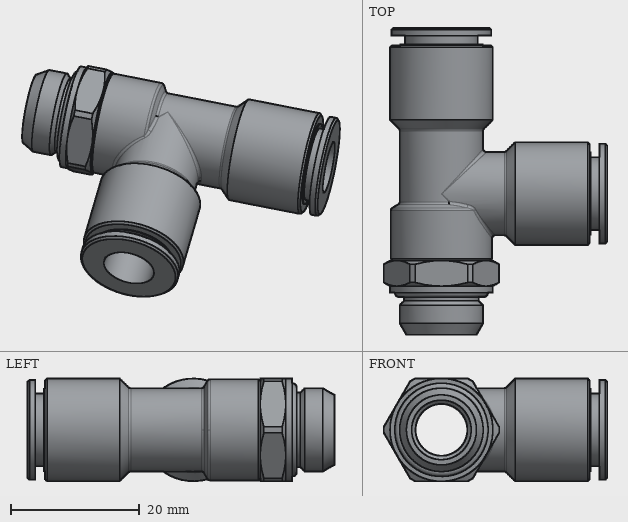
import cadquery as cq
import math

arm_end = 25.8
spigot_end = 22.0
neck_radius = 6.5
bore_radius = 4.0
blend_radius = 0.5
tolerance = 0.0005

socket_diameter = 16.0
socket_start = 11.45
socket_end = 23.1
socket_edge = 0.35
lip_radius = 6.4
lip_height = 0.15
collet_radius = 5.7
flange_radius = 7.8
flange_thickness = 1.25
flange_edge = 0.35

body_radius = 7.9
body_edge = 0.3
shoulder_start = 1.55
shoulder_angle = 30

hex_start = 10.4
hex_end = 14.4
hex_across_flats = 16.0
hex_corner_radius = 9.0
hex_bevel_angle = 30

collar_diameter = 16.0
collar_end = 15.4
ring_radius = 6.55
ring_section_radius = 0.7
groove_radius = 5.85
groove_end = 16.7
spigot_taper_start = 20.15
spigot_taper_angle = 30
mouth_radius = 4.65

socket_radius = socket_diameter / 2
collar_radius = collar_diameter / 2
cone_start = socket_start - (socket_radius - neck_radius)
lip_end = socket_end + lip_height
flange_start = arm_end - flange_thickness
shoulder_end = shoulder_start + (body_radius - neck_radius) * math.tan(math.radians(shoulder_angle))
hex_across_corners = hex_across_flats / math.cos(math.radians(30))
hex_flat_radius = hex_across_flats / 2
hex_bevel_depth = (hex_corner_radius - hex_flat_radius) * math.tan(math.radians(hex_bevel_angle))
groove_slope = neck_radius - groove_radius
spigot_taper_length = spigot_end - spigot_taper_start
spigot_tip_radius = neck_radius - spigot_taper_length * math.tan(math.radians(spigot_taper_angle))
mouth_depth = mouth_radius - bore_radius

RUN_PLANE = cq.Plane(origin=(0, 0, 0), xDir=(0, 1, 0), normal=(0, 0, 1))
BRANCH_PLANE = cq.Plane.XY()


def turn(plane, profile):
    """Turn (position, radius) points about the plane's first direction."""
    return cq.Workplane(plane).polyline(profile).close().revolve(360, (0, 0, 0), (1, 0, 0))


socket_profile = [
    (cone_start, neck_radius),
    (socket_start, socket_radius),
    (socket_end - socket_edge, socket_radius),
    (socket_end, socket_radius - socket_edge),
    (socket_end, lip_radius),
    (lip_end, lip_radius),
    (lip_end, collet_radius),
    (flange_start, collet_radius),
    (flange_start, flange_radius),
    (arm_end - flange_edge, flange_radius),
    (arm_end, flange_radius - flange_edge),
    (arm_end, 0),
]


def is_near(value, target):
    return abs(value - target) < tolerance


def is_neck_edge(edge):
    """True for the edges where necks meet each other, the shoulder or a socket cone, and the shoulder rim."""
    if edge.geomType() == "LINE":
        return False
    if edge.geomType() != "CIRCLE":
        return True
    centre = edge.arcCenter()
    along_run = (-shoulder_end, -shoulder_start, cone_start)
    return is_near(centre.x, cone_start) or any(is_near(centre.y, place) for place in along_run)


def make_tee():
    """Swivel body, necks and both sockets, with the corners around the necks rounded."""
    body_profile = [
        (-hex_start, 0),
        (-hex_start, body_radius - body_edge),
        (-hex_start + body_edge, body_radius),
        (-shoulder_end, body_radius),
        (-shoulder_start, neck_radius),
    ]
    run = turn(RUN_PLANE, body_profile + socket_profile)
    branch = turn(BRANCH_PLANE, [(0, 0), (0, neck_radius)] + socket_profile)
    tee = run.union(branch)

    blended = [edge for edge in tee.edges().vals() if is_neck_edge(edge)]
    return tee.newObject(blended).fillet(blend_radius)


def make_hexagon():
    """Hexagon with flats facing +Z and -Z, its corners rounded and bevelled by turning."""
    length = hex_end - hex_start
    prism = (
        cq.Workplane("XZ", origin=(0, -hex_start, 0))
        .polygon(6, hex_across_corners)
        .extrude(length)
    )
    turned = turn(RUN_PLANE, [
        (-hex_end, 0),
        (-hex_end, hex_flat_radius),
        (-hex_end + hex_bevel_depth, hex_corner_radius),
        (-hex_start - hex_bevel_depth, hex_corner_radius),
        (-hex_start, hex_flat_radius),
        (-hex_start, 0),
    ])
    return prism.intersect(turned)


def make_spigot():
    """Collar, undercut groove and tapered threaded end."""
    return turn(RUN_PLANE, [
        (-hex_end, 0),
        (-hex_end, collar_radius),
        (-collar_end, collar_radius),
        (-collar_end, groove_radius),
        (-groove_end, groove_radius),
        (-groove_end - groove_slope, neck_radius),
        (-spigot_taper_start, neck_radius),
        (-spigot_end, spigot_tip_radius),
        (-spigot_end, 0),
    ])


def make_sealing_ring():
    """Round-section ring seated in the groove against the collar."""
    return (
        cq.Workplane(RUN_PLANE)
        .center(-collar_end, ring_radius)
        .circle(ring_section_radius)
        .revolve(360, (0, -ring_radius, 0), (1, -ring_radius, 0))
    )


def make_run_bore():
    """Through bore of the run, widened at the spigot mouth."""
    return turn(RUN_PLANE, [
        (-spigot_end, 0),
        (-spigot_end, mouth_radius),
        (-spigot_end + mouth_depth, bore_radius),
        (arm_end, bore_radius),
        (arm_end, 0),
    ])


def make_branch_bore():
    """Bore of the branch, opening into the run bore."""
    return turn(BRANCH_PLANE, [(0, 0), (0, bore_radius), (arm_end, bore_radius), (arm_end, 0)])


result = (
    make_tee()
    .union(make_hexagon())
    .union(make_spigot())
    .union(make_sealing_ring())
    .cut(make_run_bore())
    .cut(make_branch_bore())
)